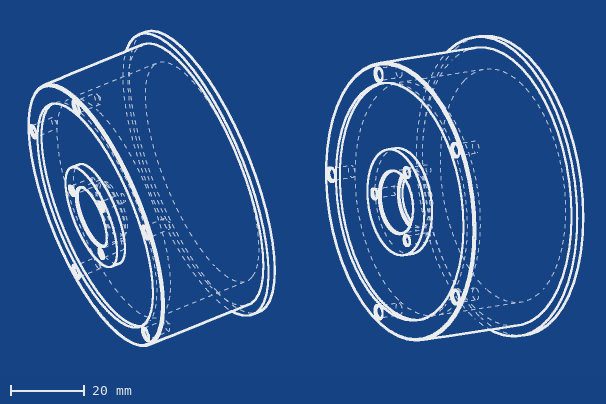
import cadquery as cq
import math

flange_diameter = 82.0
total_depth = 34.3
flange_thickness = 2.0

drum_diameter = 76.2
cap_diameter = 76.0
boss_projection = 1.2
cap_depth = 6.0
cap_chamfer = 0.4
taper_length = 1.0

pocket_diameter = 65.0
pocket_depth = 1.2
boss_diameter = 29.0

bore_diameter = 17.0
bore_chamfer = 0.25
bore_chamfer_depth = 0.5
lip_diameter = 15.5
lip_position = 6.0
lip_thickness = 1.0

cavity_diameter = 64.0

rim_hole_count = 5
rim_hole_circle_radius = 34.9
rim_hole_diameter = 3.3
rim_hole_mouth_diameter = 4.0
rim_hole_depth = 6.6
drill_point_angle = 118.0

boss_hole_count = 3
boss_hole_circle_radius = 11.0
boss_hole_diameter = 2.5
boss_hole_mouth_diameter = 3.0

boss_face = -total_depth
rim_face = boss_face + boss_projection
pocket_floor = rim_face + pocket_depth
taper_front = rim_face + cap_depth
taper_back = taper_front + taper_length
lip_front = boss_face + lip_position
lip_back = lip_front + lip_thickness


def revolve_about_y(profile):
    """Revolve a list of (radius, y) points about the Y axis."""
    return cq.Workplane("XY").polyline(profile).close().revolve(360, (0, 0, 0), (0, 1, 0))


def make_wheel():
    drum_r = drum_diameter / 2
    cap_r = cap_diameter / 2
    flange_r = flange_diameter / 2
    pocket_r = pocket_diameter / 2
    boss_r = boss_diameter / 2
    return revolve_about_y([
        (0, boss_face),
        (boss_r, boss_face),
        (boss_r, pocket_floor),
        (pocket_r, pocket_floor),
        (pocket_r, rim_face),
        (cap_r - cap_chamfer, rim_face),
        (cap_r, rim_face + cap_chamfer),
        (cap_r, taper_front),
        (drum_r, taper_back),
        (drum_r, -flange_thickness),
        (flange_r, -flange_thickness),
        (flange_r, 0),
        (0, 0),
    ])


def make_bore_and_cavity():
    bore_r = bore_diameter / 2
    lip_r = lip_diameter / 2
    cavity_r = cavity_diameter / 2
    return revolve_about_y([
        (0, boss_face),
        (bore_r + bore_chamfer, boss_face),
        (bore_r, boss_face + bore_chamfer_depth),
        (bore_r, lip_front),
        (lip_r, lip_front),
        (lip_r, lip_back),
        (cavity_r, lip_back),
        (cavity_r, 0),
        (0, 0),
    ])


def make_rim_hole():
    r = rim_hole_diameter / 2
    mouth_r = rim_hole_mouth_diameter / 2
    bottom = rim_face + rim_hole_depth
    point_length = r / math.tan(math.radians(drill_point_angle / 2))
    return revolve_about_y([
        (0, rim_face),
        (mouth_r, rim_face),
        (r, rim_face + mouth_r - r),
        (r, bottom),
        (0, bottom + point_length),
    ])


def make_boss_hole():
    r = boss_hole_diameter / 2
    mouth_r = boss_hole_mouth_diameter / 2
    return revolve_about_y([
        (0, boss_face),
        (mouth_r, boss_face),
        (r, boss_face + mouth_r - r),
        (r, lip_back),
        (0, lip_back),
    ])


def cut_around_axis(body, cutter, count, radius):
    """Cut evenly spaced copies of a cutter, the first one on the -X side."""
    placed = cutter.translate((-radius, 0, 0))
    for i in range(count):
        body = body.cut(placed.rotate((0, 0, 0), (0, 1, 0), i * 360 / count))
    return body


result = make_wheel().cut(make_bore_and_cavity())
result = cut_around_axis(result, make_rim_hole(), rim_hole_count, rim_hole_circle_radius)
result = cut_around_axis(result, make_boss_hole(), boss_hole_count, boss_hole_circle_radius)